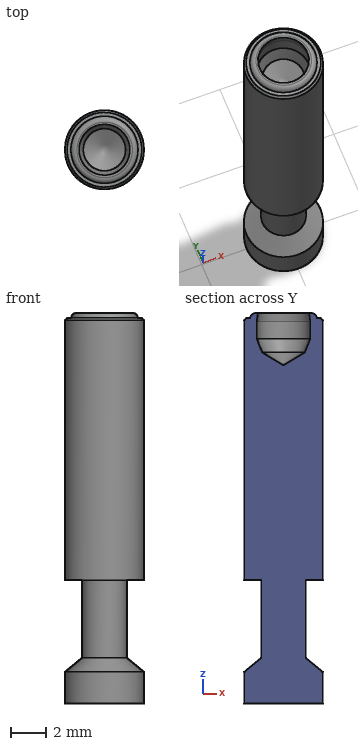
import cadquery as cq
import math

total_height = 22.2
body_radius = 2.253
foot_height = 1.8
foot_cone_top = 2.6
neck_radius = 1.29
body_bottom = 7.02

rim_height = 0.29
rim_radius = 1.9
body_chamfer = 0.13
body_top = total_height - rim_height

mouth_radius = 1.45
mouth_land = 0.13
mouth_depth = 0.49
bore_radius = 1.5
bore_depth = 1.47
taper_end_radius = 1.2
taper_length = 0.78
drill_point_angle = 118.0
drill_point_depth = taper_end_radius / math.tan(math.radians(drill_point_angle / 2))

land_radius = mouth_radius + mouth_land
shoulder_width = rim_radius - land_radius
shoulder_middle = (
    land_radius + shoulder_width * math.sin(math.radians(45)),
    body_top + rim_height * math.sin(math.radians(45)),
)


def make_pin():
    """Revolve the outer half-profile, given as (radius, height)."""
    profile = (
        cq.Workplane("XZ")
        .lineTo(body_radius, 0)
        .lineTo(body_radius, foot_height)
        .lineTo(neck_radius, foot_cone_top)
        .lineTo(neck_radius, body_bottom)
        .lineTo(body_radius, body_bottom)
        .lineTo(body_radius, body_top - body_chamfer)
        .lineTo(body_radius - body_chamfer, body_top)
        .lineTo(rim_radius, body_top)
        .threePointArc(shoulder_middle, (land_radius, total_height))
        .lineTo(0, total_height)
        .close()
    )
    return profile.revolve(360, (0, 0), (0, 1))


def make_hole():
    """Revolve the half-profile of the blind hole."""
    bore_bottom = total_height - bore_depth
    taper_bottom = bore_bottom - taper_length
    profile = (
        cq.Workplane("XZ")
        .moveTo(0, total_height)
        .lineTo(mouth_radius, total_height)
        .lineTo(bore_radius, total_height - mouth_depth)
        .lineTo(bore_radius, bore_bottom)
        .lineTo(taper_end_radius, taper_bottom)
        .lineTo(0, taper_bottom - drill_point_depth)
        .close()
    )
    return profile.revolve(360, (0, 0), (0, 1))


result = make_pin().cut(make_hole())